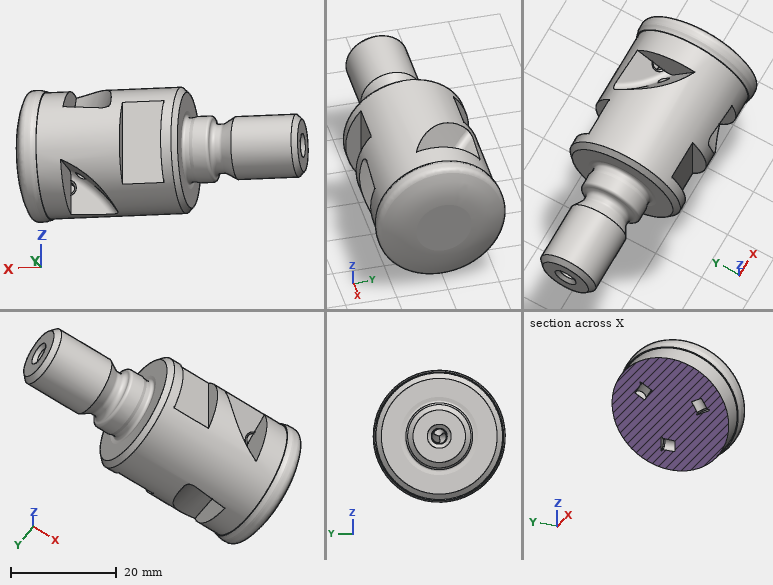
import cadquery as cq
import math

LENGTH = 54.0

SHANK_RADIUS = 6.0
SHANK_END = 12.7
EDGE_CHAMFER = 1.0
NECK_RADIUS = 4.7
NECK_CONE_ANGLE = math.radians(30)
NECK_FILLET = 0.95
COLLAR_START = 16.95
COLLAR_RADIUS = 6.3
COLLAR_EDGE_RADIUS = 0.6
COLLAR_END = 20.05

UNDERCUT_START = 20.75
UNDERCUT_DEPTH = 0.2
UNDERCUT_FILLET = 0.6
UNDERCUT_FACE_DEPTH = 0.1
UNDERCUT_FACE_RADIUS = 7.4

BODY_START = 22.0
BODY_RADIUS = 12.0
FLAT_START = BODY_START + 3.0
FLAT_WIDTH = 8.0
FLAT_HALF_SPAN = 9.0

HEAD_DIAMETER = 25.0
HEAD_RADIUS = HEAD_DIAMETER / 2
HEAD_START = 49.1
HEAD_LIP = 0.2
HEAD_RAMP_END = 49.6
HEAD_RAMP_RADIUS = 12.3
HEAD_STEP_END = 50.1
HEAD_STEP_RADIUS = 12.45
HEAD_RIM_START = 50.5
CROWN_FLAT_RADIUS = 5.4
CROWN_RADIUS = 14.05
CROWN_EDGE_FILLET = 1.3

BORE_RADIUS = 1.5
BORE_MOUTH_RADIUS = 2.25
BORE_DEPTH = 34.25
COOLANT_DIAMETER = 2.0
COOLANT_RADIUS = COOLANT_DIAMETER / 2
COOLANT_OFFSET = 0.4
COOLANT_ANGLE = 35.0
COOLANT_LENGTH = 11.9
COOLANT_LEAD = 0.8

POCKET_COUNT = 3
POCKET_END = 44.45
WALL_ROLL = math.radians(30)
WALL_TILT = math.radians(6)
WALL_OFFSET = 1.8
FLOOR_RADIUS = 22.95
FLOOR_CENTER = (10.5, 24.15)
FLOOR_FIRST = -11.9
FLOOR_LAST = 2.15
FLOOR_FILLET = 1.4
POCKET_REACH = 16.2

SCREW_X = 45.15
SCREW_DISTANCE = 6.7
SCREW_MOUTH_RADIUS = 1.5
SCREW_RADIUS = 1.15
SCREW_DEPTH = 2.7

WALL_LIFT = cq.Vector(0, math.sin(WALL_ROLL), math.cos(WALL_ROLL))
WALL_INTO = WALL_LIFT * math.cos(WALL_TILT) + cq.Vector(math.sin(WALL_TILT), 0, 0)
WALL_ALONG = cq.Vector(math.cos(WALL_TILT), 0, 0) - WALL_LIFT * math.sin(WALL_TILT)
WALL_ORIGIN = cq.Vector(POCKET_END, 0, 0) - WALL_INTO * WALL_OFFSET


def turned_blank():
    """Solid of revolution carrying every outside diameter."""
    cone_corner = SHANK_END + (SHANK_RADIUS - NECK_RADIUS) / math.tan(NECK_CONE_ANGLE)
    blend = NECK_FILLET * math.tan(NECK_CONE_ANGLE / 2)
    cone_end = (
        cone_corner - blend * math.cos(NECK_CONE_ANGLE),
        NECK_RADIUS + blend * math.sin(NECK_CONE_ANGLE),
    )
    neck_end = COLLAR_START - NECK_FILLET
    undercut_radius = COLLAR_RADIUS - UNDERCUT_DEPTH
    undercut_floor = BODY_START + UNDERCUT_FACE_DEPTH
    crown_rise = HEAD_RADIUS - CROWN_FLAT_RADIUS
    crown_center = LENGTH - CROWN_RADIUS
    crown_start = crown_center + math.sqrt(CROWN_RADIUS**2 - crown_rise**2)
    mid_angle = math.asin(crown_rise / CROWN_RADIUS) / 2
    crown_middle = (
        crown_center + CROWN_RADIUS * math.cos(mid_angle),
        CROWN_FLAT_RADIUS + CROWN_RADIUS * math.sin(mid_angle),
    )
    profile = (
        cq.Workplane("XY")
        .moveTo(0, 0)
        .lineTo(0, SHANK_RADIUS - EDGE_CHAMFER)
        .lineTo(EDGE_CHAMFER, SHANK_RADIUS)
        .lineTo(SHANK_END, SHANK_RADIUS)
        .lineTo(*cone_end)
        .radiusArc((cone_corner + blend, NECK_RADIUS), -NECK_FILLET)
        .lineTo(neck_end, NECK_RADIUS)
        .radiusArc((COLLAR_START, NECK_RADIUS + NECK_FILLET), -NECK_FILLET)
        .lineTo(COLLAR_START, COLLAR_RADIUS - COLLAR_EDGE_RADIUS)
        .radiusArc((COLLAR_START + COLLAR_EDGE_RADIUS, COLLAR_RADIUS), COLLAR_EDGE_RADIUS)
        .lineTo(COLLAR_END, COLLAR_RADIUS)
        .lineTo(UNDERCUT_START, undercut_radius)
        .lineTo(undercut_floor - UNDERCUT_FILLET, undercut_radius)
        .radiusArc((undercut_floor, undercut_radius + UNDERCUT_FILLET), -UNDERCUT_FILLET)
        .lineTo(BODY_START, UNDERCUT_FACE_RADIUS)
        .lineTo(BODY_START, BODY_RADIUS - EDGE_CHAMFER)
        .lineTo(BODY_START + EDGE_CHAMFER, BODY_RADIUS)
        .lineTo(HEAD_START, BODY_RADIUS)
        .lineTo(HEAD_START, BODY_RADIUS + HEAD_LIP)
        .lineTo(HEAD_RAMP_END, HEAD_RAMP_RADIUS)
        .lineTo(HEAD_STEP_END, HEAD_STEP_RADIUS)
        .lineTo(HEAD_RIM_START, HEAD_RADIUS)
        .lineTo(crown_start, HEAD_RADIUS)
        .threePointArc(crown_middle, (LENGTH, CROWN_FLAT_RADIUS))
        .lineTo(LENGTH, 0)
        .close()
    )
    blank = profile.revolve(360, (0, 0, 0), (1, 0, 0))
    crown_edge = cq.selectors.NearestToPointSelector((crown_start, 0, 0))
    return blank.edges("%CIRCLE").edges(crown_edge).fillet(CROWN_EDGE_FILLET)


def wrench_flats():
    """Two parallel slots cut across the -Y and +Y sides of the body."""
    cutters = cq.Workplane("XY")
    for side in (-1, 1):
        cutters = cutters.union(
            cq.Workplane("XY")
            .box(FLAT_WIDTH, BODY_RADIUS, 2 * HEAD_RADIUS)
            .translate((FLAT_START + FLAT_WIDTH / 2, side * (FLAT_HALF_SPAN + BODY_RADIUS / 2), 0))
        )
    return cutters


def coolant_bore():
    """Axial bore with a 45 degree countersink in the shank face."""
    return (
        cq.Workplane("XY")
        .moveTo(0, 0)
        .lineTo(0, BORE_MOUTH_RADIUS)
        .lineTo(BORE_MOUTH_RADIUS - BORE_RADIUS, BORE_RADIUS)
        .lineTo(BORE_DEPTH, BORE_RADIUS)
        .lineTo(BORE_DEPTH, 0)
        .close()
        .revolve(360, (0, 0, 0), (1, 0, 0))
    )


def coolant_branch():
    """Inclined hole from the end of the bore to the floor of the -Y pocket."""
    slope = math.radians(COOLANT_ANGLE)
    direction = cq.Vector(math.cos(slope), -math.sin(slope), 0)
    start = cq.Vector(BORE_DEPTH, 0, -COOLANT_OFFSET) - direction * COOLANT_LEAD
    return cq.Workplane(cq.Solid.makeCylinder(COOLANT_RADIUS, COOLANT_LENGTH, start, direction))


def floor_point(along):
    """Point of the floor arc in the plane of the wall."""
    center_along, center_out = FLOOR_CENTER
    return along, center_out - math.sqrt(FLOOR_RADIUS**2 - (along - center_along) ** 2)


def chip_pocket():
    """-Y pocket: flat wall, curved floor square to it, fillet between, flat end."""
    wall = cq.Plane(WALL_ORIGIN, WALL_ALONG, WALL_INTO * -1)
    first = floor_point(FLOOR_FIRST)
    last = floor_point(FLOOR_LAST)
    middle = floor_point((FLOOR_FIRST + FLOOR_LAST) / 2)
    cutter = (
        cq.Workplane(wall)
        .moveTo(*first)
        .threePointArc(middle, last)
        .lineTo(FLOOR_LAST, first[1])
        .close()
        .extrude(POCKET_REACH)
    )
    floor_edge = cq.selectors.NearestToPointSelector(wall.toWorldCoords(middle).toTuple())
    cutter = cutter.edges(floor_edge).fillet(FLOOR_FILLET)
    body_zone = cq.Workplane("YZ").circle(2 * LENGTH).extrude(POCKET_END)
    return cutter.intersect(body_zone)


def screw_hole():
    """Countersunk blind hole square to the wall, beside the end of the pocket."""
    wall = cq.Plane(WALL_ORIGIN, WALL_ALONG, WALL_INTO)
    sink = SCREW_MOUTH_RADIUS - SCREW_RADIUS
    along = (SCREW_X - POCKET_END) / math.cos(WALL_TILT)
    hole = cq.Workplane(wall).center(along, -SCREW_DISTANCE)
    cone = hole.circle(SCREW_MOUTH_RADIUS).workplane(offset=sink).circle(SCREW_RADIUS).loft()
    return cone.union(hole.circle(SCREW_RADIUS).extrude(SCREW_DEPTH))


result = turned_blank().cut(wrench_flats()).cut(coolant_bore())
for index in range(POCKET_COUNT):
    turn = index * 360 / POCKET_COUNT
    for cutter in (coolant_branch(), chip_pocket(), screw_hole()):
        result = result.cut(cutter.rotate((0, 0, 0), (1, 0, 0), turn))